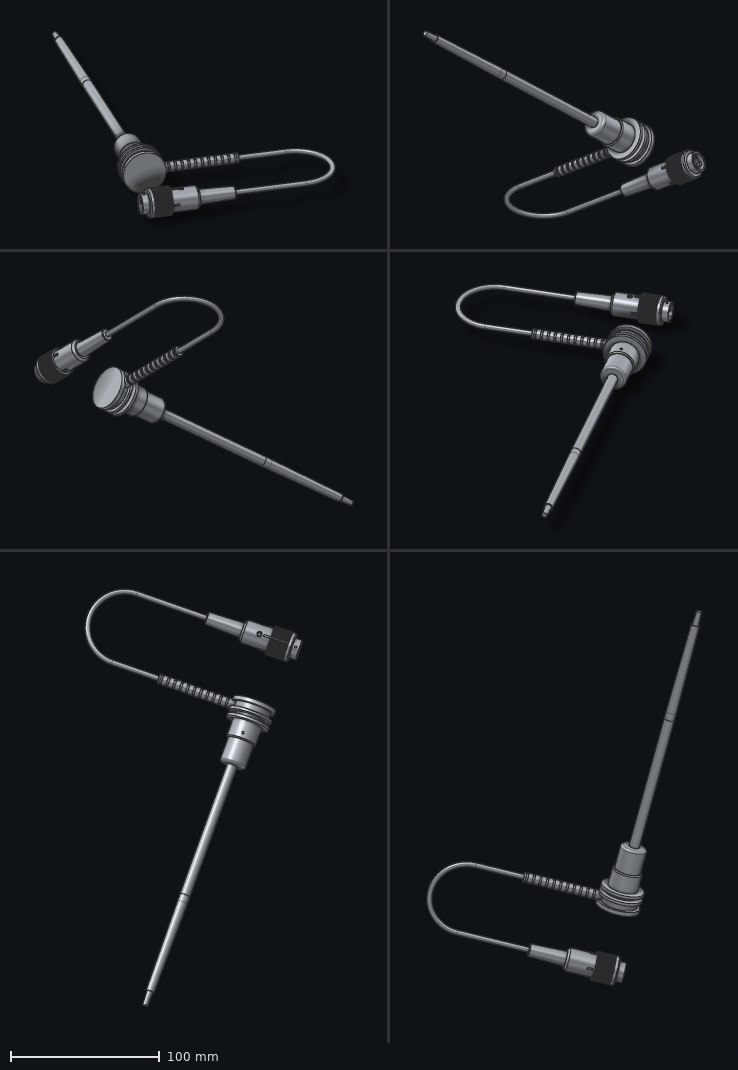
import cadquery as cq
import math


tip_end_d = 3.5
tip_base_d = 4.5
tip_length = 10.2
rod_front_d = 5.8
tube_d = 7.1
taper_end_x = 75.0
tube_start_x = 80.2

hub_start_x = 175.0
nose_d = 18.0
nose_fillet = 1.6
collar_start_x = 192.3
collar_d = 20.5
collar_chamfer = 0.8
flange_d = 30.0
fin_start_x = 205.5
fin_width = 2.0
fin_pitch = 5.0
fin_count = 2
cable_groove_width = 4.7
cable_groove_d = 25.3
hub_end_x = 220.0
dot_d = 1.5
dot_depth = 0.8
hub_dot_x = 196.7
last_fin_end_x = fin_start_x + (fin_count - 1) * fin_pitch + fin_width
end_flange_x = last_fin_end_x + cable_groove_width

cable_d = 3.5
cable_x = (last_fin_end_x + end_flange_x) / 2
relief_d = 7.0
relief_core_d = 5.5
relief_start_y = 12.0
relief_end_y = 66.5
first_slot_y = 17.0
relief_slot_count = 11
relief_slot_pitch = 4.7
relief_slot_width = 1.5
bend_y = 99.7

coupling_d = 20.0
overall_length = 274.7
plug_x = overall_length - coupling_d / 2
bend_radius = (plug_x - cable_x) / 2
sleeve_end_y = 50.0
sleeve_end_d = 8.8
sleeve_base_d = 10.5
sleeve_chamfer = 0.5
body_end_y = 24.5
body_d = 16.2
body_chamfer = 1.6
coupling_end_y = 4.5
knurl_end_y = -8.2
coupling_start_y = -11.3
barrel_d = 14.0
barrel_start_y = -16.0
barrel_dot_y = -13.5
socket_d = 11.5
socket_depth = 4.0
cable_stop_y = body_end_y
screw_y = 12.4
screw_d = 3.5
screw_depth = 1.0
screw_core_d = 2.5
screw_core_depth = 2.2
bar_width = 1.5
bar_height = 0.5
bar_length = 3.8
bar_gap = 1.0
pin_count = 4
large_pin_d = 2.5
small_pin_d = 1.0
pin_circle_r = 3.5
pin_length = 2.7
knurl_count = 90
knurl_depth = 0.5
coupling_chamfer = 0.8
key_width = 1.0
key_height = 0.5


def x_cylinder(start_x, end_x, diameter):
    return cq.Workplane("YZ", origin=(start_x, 0, 0)).circle(diameter / 2).extrude(end_x - start_x)


def y_cylinder(center_x, start_y, end_y, diameter, center_z=0):
    plane = cq.Plane(origin=(center_x, start_y, center_z), xDir=(1, 0, 0), normal=(0, 1, 0))
    return cq.Workplane(plane).circle(diameter / 2).extrude(end_y - start_y)


def dimple(center_x, center_y, surface_d, diameter, depth):
    """Round cutter that sinks the given depth into the top of a cylinder lying in the XY plane."""
    floor_z = surface_d / 2 - depth
    return cq.Workplane("XY", origin=(center_x, center_y, floor_z)).circle(diameter / 2).extrude(2 * depth)


def make_probe_rod():
    profile = [
        (0, 0),
        (0, tip_end_d / 2),
        (tip_length, tip_base_d / 2),
        (tip_length, rod_front_d / 2),
        (taper_end_x, tube_d / 2),
        (tube_start_x, tube_d / 2),
        (tube_start_x, 0),
    ]
    return cq.Workplane("XY").polyline(profile).close().revolve(360, (0, 0, 0), (1, 0, 0))


def make_probe_tube():
    return x_cylinder(tube_start_x, hub_start_x, tube_d)


def make_hub():
    nose = x_cylinder(hub_start_x, collar_start_x, nose_d).faces("<X").edges().fillet(nose_fillet)
    collar = x_cylinder(collar_start_x, last_fin_end_x, collar_d).faces("<X").edges().chamfer(collar_chamfer)
    hub = nose.union(collar)
    for index in range(fin_count):
        start_x = fin_start_x + index * fin_pitch
        hub = hub.union(x_cylinder(start_x, start_x + fin_width, flange_d))
    hub = hub.union(x_cylinder(last_fin_end_x, end_flange_x, cable_groove_d))
    hub = hub.union(x_cylinder(end_flange_x, hub_end_x, flange_d))
    hub = hub.cut(y_cylinder(cable_x, relief_start_y, flange_d, relief_d))
    return hub.cut(dimple(hub_dot_x, 0, collar_d, dot_d, dot_depth))


def make_strain_relief():
    relief = y_cylinder(cable_x, relief_start_y, relief_end_y, relief_d)
    core = y_cylinder(cable_x, relief_start_y, relief_end_y, relief_core_d)
    for index in range(relief_slot_count):
        slot_start_y = first_slot_y + index * relief_slot_pitch
        slot_end_y = slot_start_y + relief_slot_width
        relief = relief.cut(y_cylinder(cable_x, slot_start_y, slot_end_y, relief_d).cut(core))
    return relief.cut(y_cylinder(cable_x, relief_start_y, relief_end_y, cable_d))


def make_cable():
    path = (
        cq.Workplane("XY")
        .moveTo(cable_x, relief_start_y)
        .lineTo(cable_x, bend_y)
        .threePointArc((cable_x + bend_radius, bend_y + bend_radius), (plug_x, bend_y))
        .lineTo(plug_x, cable_stop_y)
    )
    section = cq.Workplane("XZ", origin=(cable_x, relief_start_y, 0)).circle(cable_d / 2)
    return section.sweep(path)


def make_plug_body():
    profile = [
        (0, barrel_start_y),
        (barrel_d / 2, barrel_start_y),
        (barrel_d / 2, coupling_end_y),
        (body_d / 2, coupling_end_y),
        (body_d / 2, body_end_y - body_chamfer),
        (body_d / 2 - body_chamfer, body_end_y),
        (sleeve_base_d / 2, body_end_y),
        (sleeve_end_d / 2, sleeve_end_y - sleeve_chamfer),
        (sleeve_end_d / 2 - sleeve_chamfer, sleeve_end_y),
        (0, sleeve_end_y),
    ]
    plane = cq.Workplane("XY", origin=(plug_x, 0, 0))
    plug = plane.polyline(profile).close().revolve(360, (0, 0, 0), (0, 1, 0))
    plug = plug.cut(y_cylinder(plug_x, cable_stop_y, sleeve_end_y, cable_d))
    plug = plug.cut(dimple(plug_x, screw_y, body_d, screw_d, screw_depth))
    plug = plug.cut(dimple(plug_x, screw_y, body_d, screw_core_d, screw_core_depth))
    plug = plug.cut(dimple(plug_x, barrel_dot_y, barrel_d, dot_d, dot_depth))
    plug = plug.union(make_index_bars())
    socket_floor_y = barrel_start_y + socket_depth
    plug = plug.cut(y_cylinder(plug_x, barrel_start_y, socket_floor_y, socket_d))
    return plug.union(make_contact_pins(socket_floor_y))


def make_index_bars():
    """Crossed blades through the body whose ends stand out as four short bars beside the coupling."""
    blade_length = body_d + 2 * bar_height
    center = (plug_x, coupling_end_y + bar_gap + bar_length / 2, 0)
    upright = cq.Workplane("XY").box(bar_width, bar_length, blade_length)
    level = cq.Workplane("XY").box(blade_length, bar_length, bar_width)
    return upright.union(level).translate(center)


def make_contact_pins(floor_y):
    """Contact pins on a circle, large and small in turn."""
    pins = cq.Workplane("XY")
    for index in range(pin_count):
        angle = 2 * math.pi * index / pin_count
        diameter = large_pin_d if index % 2 == 0 else small_pin_d
        pin_x = plug_x + pin_circle_r * math.cos(angle)
        pin_z = pin_circle_r * math.sin(angle)
        pins = pins.add(y_cylinder(pin_x, floor_y - pin_length, floor_y, diameter, pin_z))
    return pins.combine()


def make_coupling():
    points = []
    for index in range(2 * knurl_count):
        angle = index * math.pi / knurl_count
        radius = coupling_d / 2 - knurl_depth * (index % 2)
        points.append((radius * math.cos(angle), radius * math.sin(angle)))
    knurl_plane = cq.Workplane("XZ", origin=(plug_x, coupling_end_y, 0))
    knurl = knurl_plane.polyline(points).close().extrude(coupling_end_y - knurl_end_y)
    rim = y_cylinder(plug_x, coupling_start_y, knurl_end_y, coupling_d)
    rim = rim.faces("<Y").edges().chamfer(coupling_chamfer)
    key_top_z = coupling_d / 2 + key_height
    key_length = coupling_end_y - knurl_end_y
    key = cq.Workplane("XY").box(key_width, key_length, key_top_z, centered=(True, False, False))
    key = key.translate((plug_x, knurl_end_y, 0))
    coupling = knurl.union(rim).union(key)
    return coupling.cut(y_cylinder(plug_x, coupling_start_y, coupling_end_y, barrel_d))


probe_rod = make_probe_rod()
probe_tube = make_probe_tube()
hub = make_hub()
strain_relief = make_strain_relief()
cable = make_cable()
plug_body = make_plug_body()
coupling = make_coupling()

result = cq.Compound.makeCompound([
    probe_rod.val(),
    probe_tube.val(),
    *hub.vals(),
    *strain_relief.vals(),
    cable.val(),
    *plug_body.vals(),
    *coupling.vals(),
])